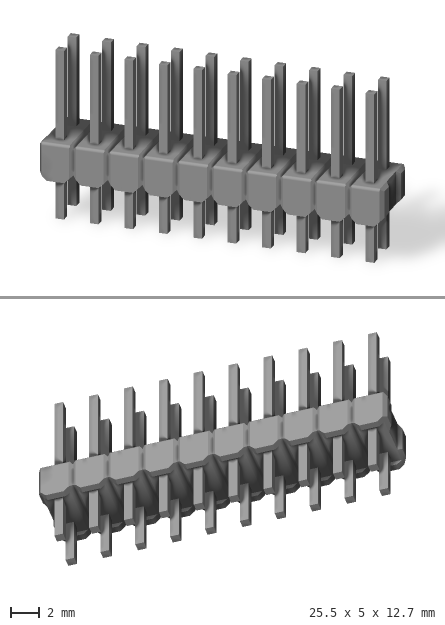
import cadquery as cq

pitch = 2.55
columns = 10
row_length = columns * pitch
rows_y = (-pitch / 2, pitch / 2)

body_width = 5.0
body_height = 2.85
side_bevel = 0.25
inner_corner_bevel_y = 0.2
end_corner_bevel_y = 0.35
top_bevel_z = 0.25
top_edge_radius = 0.2
bottom_bevel = 0.6

skirt_width = 0.5
channel_depth = 0.33

notch_floor_width = 1.88
notch_flare_y = 0.3

pin_size = 0.64
pin_length = 12.7
pin_below = 3.15


def cell_front_prism():
    """Cell outline in XZ, bevelled at the top and more deeply at the bottom."""
    half = pitch / 2
    return (
        cq.Workplane("XZ")
        .moveTo(half - bottom_bevel, 0)
        .lineTo(half, bottom_bevel)
        .lineTo(half, body_height - top_bevel_z)
        .lineTo(half - side_bevel, body_height)
        .lineTo(side_bevel - half, body_height)
        .lineTo(-half, body_height - top_bevel_z)
        .lineTo(-half, bottom_bevel)
        .lineTo(bottom_bevel - half, 0)
        .close()
        .extrude(body_width / 2, both=True)
    )


def cell_plan_prism(left_bevel_y, right_bevel_y):
    """Cell outline in XY, bevelled at its four upright corners."""
    half_x = pitch / 2
    half_y = body_width / 2
    return (
        cq.Workplane("XY")
        .moveTo(-half_x, 0)
        .lineTo(-half_x, half_y - left_bevel_y)
        .lineTo(side_bevel - half_x, half_y)
        .lineTo(half_x - side_bevel, half_y)
        .lineTo(half_x, half_y - right_bevel_y)
        .lineTo(half_x, 0)
        .mirrorX()
        .extrude(body_height)
    )


def cell_end_prism():
    """Cell outline in YZ, with rounded top edges and the underside channel."""
    half = body_width / 2
    channel_half = half - skirt_width
    round_start_z = body_height - top_edge_radius
    round_end_y = half - top_edge_radius
    return (
        cq.Workplane("YZ")
        .moveTo(0, channel_depth)
        .lineTo(channel_half, channel_depth)
        .lineTo(channel_half, 0)
        .lineTo(half, 0)
        .lineTo(half, round_start_z)
        .tangentArcPoint((round_end_y, body_height), relative=False)
        .lineTo(0, body_height)
        .mirrorY()
        .extrude(pitch / 2, both=True)
    )


def cell(left_bevel_y, right_bevel_y):
    """One cell centred on X = 0: the common volume of its three outlines."""
    plan = cell_plan_prism(left_bevel_y, right_bevel_y)
    return plan.intersect(cell_front_prism()).intersect(cell_end_prism())


def end_notch():
    """Flared notch, as deep as the side bevel, in the -X end of the body."""
    floor_half = notch_floor_width / 2
    outer_half = floor_half + notch_flare_y
    end_x = -row_length / 2
    return (
        cq.Workplane("XY")
        .moveTo(end_x, -outer_half)
        .lineTo(end_x + side_bevel, -floor_half)
        .lineTo(end_x + side_bevel, floor_half)
        .lineTo(end_x, outer_half)
        .close()
        .extrude(body_height)
    )


cell_centers_x = [(i - (columns - 1) / 2) * pitch for i in range(columns)]

first_cell = cell(end_corner_bevel_y, inner_corner_bevel_y)
inner_cell = cell(inner_corner_bevel_y, inner_corner_bevel_y)
last_cell = cell(inner_corner_bevel_y, end_corner_bevel_y)
result = first_cell.translate((cell_centers_x[0], 0, 0))
for x in cell_centers_x[1:-1]:
    result = result.union(inner_cell.translate((x, 0, 0)))
result = result.union(last_cell.translate((cell_centers_x[-1], 0, 0)))

notch = end_notch()
result = result.cut(notch).cut(notch.mirror("YZ"))

pins = (
    cq.Workplane("XY", origin=(0, 0, -pin_below))
    .pushPoints([(x, y) for x in cell_centers_x for y in rows_y])
    .rect(pin_size, pin_size)
    .extrude(pin_length)
)
result = result.union(pins)